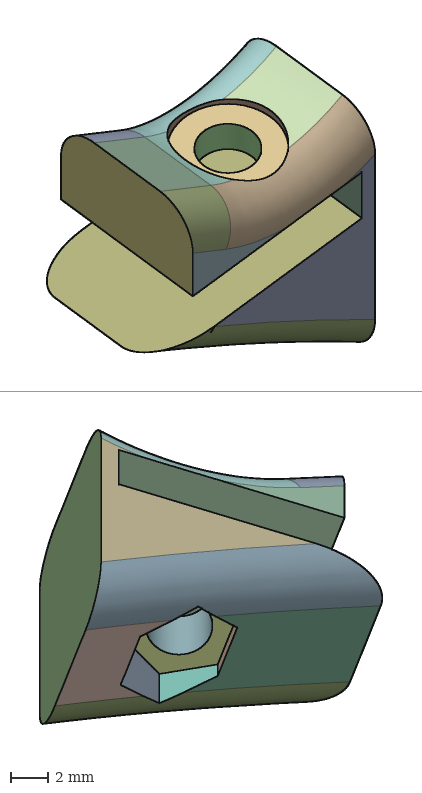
import cadquery as cq
import math

width = 10.0
height = 21.95
lower_reach = 16.76
upper_reach = 13.82
edge_radius = 2.5

underside_radius = 200.0

slot_floor = 11.94
slot_ceiling = 15.55
web_thickness = 1.0

saddle_radius = 10.0
saddle_center_reach = 4.59
saddle_low = 17.9

screw_reach = 6.17
hole_diameter = 3.6
recess_diameter = 6.5
recess_floor = 17.55
nut_corner_diameter = 6.36
nut_pocket_top = 7.9

flat_tolerance = 0.02


def saddle_point(angle):
    """Point of the saddle at an angle from its lowest point, positive toward the front."""
    reach = saddle_center_reach + saddle_radius * math.sin(angle)
    return -reach, saddle_low + saddle_radius * (1 - math.cos(angle))


def make_body():
    back_angle = -math.asin(saddle_center_reach / saddle_radius)

    run = upper_reach - saddle_center_reach
    drop = saddle_low + saddle_radius - height
    ramp_angle = math.atan2(run, drop) - math.acos(saddle_radius / math.hypot(run, drop))

    profile = (
        cq.Workplane("YZ")
        .moveTo(-lower_reach, slot_floor)
        .radiusArc((0, 0), underside_radius)
        .lineTo(*saddle_point(back_angle))
        .threePointArc(saddle_point((ramp_angle + back_angle) / 2), saddle_point(ramp_angle))
        .lineTo(-upper_reach, height)
        .lineTo(-upper_reach, slot_floor)
        .close()
    )
    return profile.extrude(width / 2, both=True)


def round_long_edges(body):
    """Round both side edges of the sloping underside and of the saddle and ramp."""
    side_edges = body.faces("<X or >X").edges()

    def is_rounded(edge):
        runs_front_to_back = edge.BoundingBox().ylen > flat_tolerance
        is_level = edge.BoundingBox().zlen < flat_tolerance
        return runs_front_to_back and not is_level

    return side_edges.filter(is_rounded).fillet(edge_radius)


def make_slot():
    return cq.Workplane("XY").box(
        width, lower_reach, slot_ceiling - slot_floor, centered=(True, False, False)
    ).translate((0, -lower_reach - web_thickness, slot_floor))


def on_screw_axis(bottom):
    return cq.Workplane("XY", origin=(0, -screw_reach, bottom))


body = round_long_edges(make_body())
hole = on_screw_axis(0).circle(hole_diameter / 2).extrude(height)
recess = on_screw_axis(recess_floor).circle(recess_diameter / 2).extrude(height - recess_floor)
nut_pocket = on_screw_axis(0).polygon(6, nut_corner_diameter).extrude(nut_pocket_top)

result = body.cut(make_slot()).cut(hole).cut(recess).cut(nut_pocket)